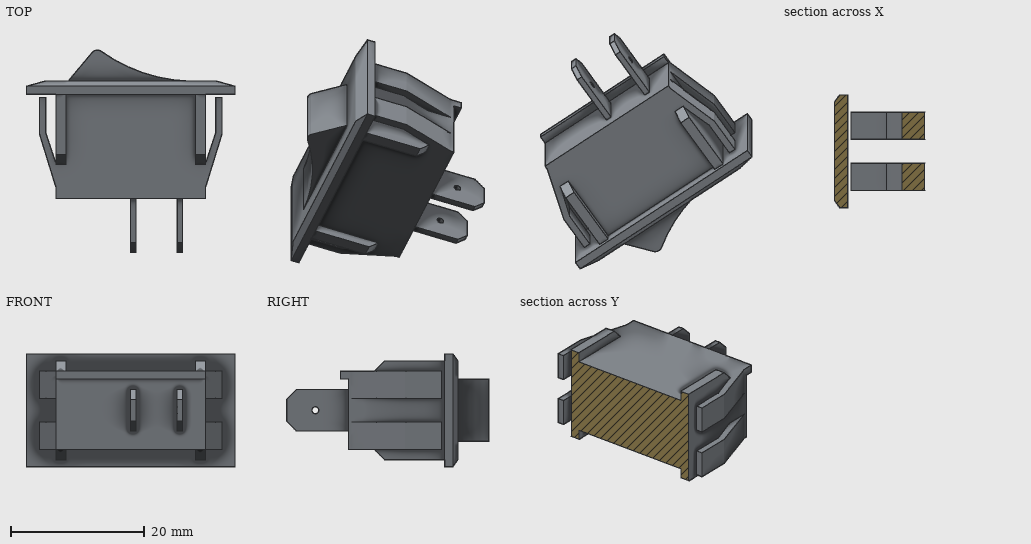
import cadquery as cq


BEZEL_LENGTH = 31.4
BEZEL_HEIGHT = 17.0
BEZEL_EDGE = 1.22
BEZEL_FRONT = 2.0
BEZEL_INSET_X = 2.83
BEZEL_INSET_Z = 1.07

CASE_LENGTH = 22.55
CASE_HEIGHT = 11.8
CASE_DEPTH = 14.48
LIP_OVERHANG = 1.2
LIP_THICKNESS = 1.22

RIB_WIDTH = 1.55
RIB_HEIGHT = 1.55
RIB_LENGTH = 10.55

CLIP_OUTER_X = 13.75
CLIP_THICKNESS = 1.0
CLIP_HEIGHT = 4.1
CLIP_GAP = 0.47
CLIP_BEND_OUTER = 5.9
CLIP_BEND_INNER = 5.8
CLIP_ROOT_OUTER = 13.95
CLIP_ROOT_INNER = 10.27
CLIP_ROOT_DEPTH = 0.3

BLADE_TIP = 23.77
BLADE_THICKNESS = 0.85
BLADE_WIDTH = 6.28
BLADE_CHAMFER = 1.5
BLADE_FIRST_X = 0.38
BLADE_SPACING = 7.0
BLADE_HOLE_DIAMETER = 1.0
BLADE_HOLE_TO_TIP = 4.33

ROCKER_WIDTH = 9.35
ROCKER_BASE_LEFT = (-9.3, BEZEL_FRONT)
ROCKER_HEEL_MIDDLE = (-9.25, 2.17)
ROCKER_SLOPE_START = (-9.17, 2.3)
ROCKER_SLOPE_END = (-5.75, 6.37)
ROCKER_CREST = (-5.02, 6.65)
ROCKER_DISH_START = (-4.45, 6.5)
ROCKER_DISH_MIDDLE = (1.82, 3.25)
ROCKER_BASE_RIGHT = (8.67, BEZEL_FRONT)


def make_bezel():
    """Rectangular plate with a sloping border around its front face."""
    rim = cq.Workplane("XY").box(BEZEL_LENGTH, BEZEL_EDGE, BEZEL_HEIGHT).translate((0, BEZEL_EDGE / 2, 0))
    border = (
        cq.Workplane("XZ", origin=(0, BEZEL_EDGE, 0))
        .rect(BEZEL_LENGTH, BEZEL_HEIGHT)
        .workplane(offset=BEZEL_EDGE - BEZEL_FRONT)
        .rect(BEZEL_LENGTH - 2 * BEZEL_INSET_X, BEZEL_HEIGHT - 2 * BEZEL_INSET_Z)
        .loft(ruled=True)
    )
    return rim.union(border)


def make_case():
    """Case block with a lip overhanging the back along its top edge."""
    top = CASE_HEIGHT / 2
    back = -CASE_DEPTH
    return (
        cq.Workplane("YZ")
        .polyline([
            (0, -top),
            (0, top),
            (back - LIP_OVERHANG, top),
            (back - LIP_OVERHANG, top - LIP_THICKNESS),
            (back, top - LIP_THICKNESS),
            (back, -top),
        ])
        .close()
        .extrude(CASE_LENGTH / 2, both=True)
    )


def make_rib_pair(center_x):
    """Ribs above and below the case, as one slab with bevelled back ends."""
    half_height = CASE_HEIGHT / 2 + RIB_HEIGHT
    return (
        cq.Workplane("XY")
        .box(RIB_WIDTH, RIB_LENGTH, 2 * half_height)
        .edges("<Y and |X")
        .chamfer(RIB_HEIGHT)
        .translate((center_x, -RIB_LENGTH / 2, 0))
    )


def make_clip(center_z):
    """Bent spring clip on the +X end of the case."""
    inner_x = CLIP_OUTER_X - CLIP_THICKNESS
    case_x = CASE_LENGTH / 2
    return (
        cq.Workplane("XY", origin=(0, 0, center_z))
        .polyline([
            (CLIP_OUTER_X, -CLIP_GAP),
            (CLIP_OUTER_X, -CLIP_BEND_OUTER),
            (case_x, -CLIP_ROOT_OUTER),
            (case_x - CLIP_ROOT_DEPTH, -CLIP_ROOT_OUTER),
            (case_x - CLIP_ROOT_DEPTH, -CLIP_ROOT_INNER),
            (case_x, -CLIP_ROOT_INNER),
            (inner_x, -CLIP_BEND_INNER),
            (inner_x, -CLIP_GAP),
        ])
        .close()
        .extrude(CLIP_HEIGHT / 2, both=True)
    )


def make_blade(center_x):
    """Blade terminal with a bevelled tip and a cross hole."""
    length = BLADE_TIP - CASE_DEPTH
    blade = (
        cq.Workplane("XY")
        .box(BLADE_THICKNESS, length, BLADE_WIDTH)
        .edges("<Y and |X")
        .chamfer(BLADE_CHAMFER)
        .translate((center_x, -CASE_DEPTH - length / 2, 0))
    )
    hole = (
        cq.Workplane("YZ", origin=(center_x, BLADE_HOLE_TO_TIP - BLADE_TIP, 0))
        .circle(BLADE_HOLE_DIAMETER / 2)
        .extrude(BLADE_THICKNESS, both=True)
    )
    return blade.cut(hole)


def make_housing():
    """Bezel, case, ribs, clips and terminals as one solid."""
    body = make_bezel().union(make_case())
    rib_x = (CASE_LENGTH - RIB_WIDTH) / 2
    clip_z = (CASE_HEIGHT - CLIP_HEIGHT) / 2
    for side in (-1, 1):
        body = body.union(make_rib_pair(side * rib_x))
        clip = make_clip(side * clip_z)
        body = body.union(clip).union(clip.mirror("YZ"))
    for index in range(2):
        body = body.union(make_blade(BLADE_FIRST_X + index * BLADE_SPACING))
    return body


def make_rocker():
    """Rocker with a rounded crest and a dished face, seated on the bezel."""
    return (
        cq.Workplane("XY")
        .moveTo(*ROCKER_BASE_LEFT)
        .threePointArc(ROCKER_HEEL_MIDDLE, ROCKER_SLOPE_START)
        .lineTo(*ROCKER_SLOPE_END)
        .threePointArc(ROCKER_CREST, ROCKER_DISH_START)
        .threePointArc(ROCKER_DISH_MIDDLE, ROCKER_BASE_RIGHT)
        .close()
        .extrude(ROCKER_WIDTH / 2, both=True)
    )


housing = make_housing()
rocker = make_rocker()

result = cq.Compound.makeCompound([housing.val(), rocker.val()])